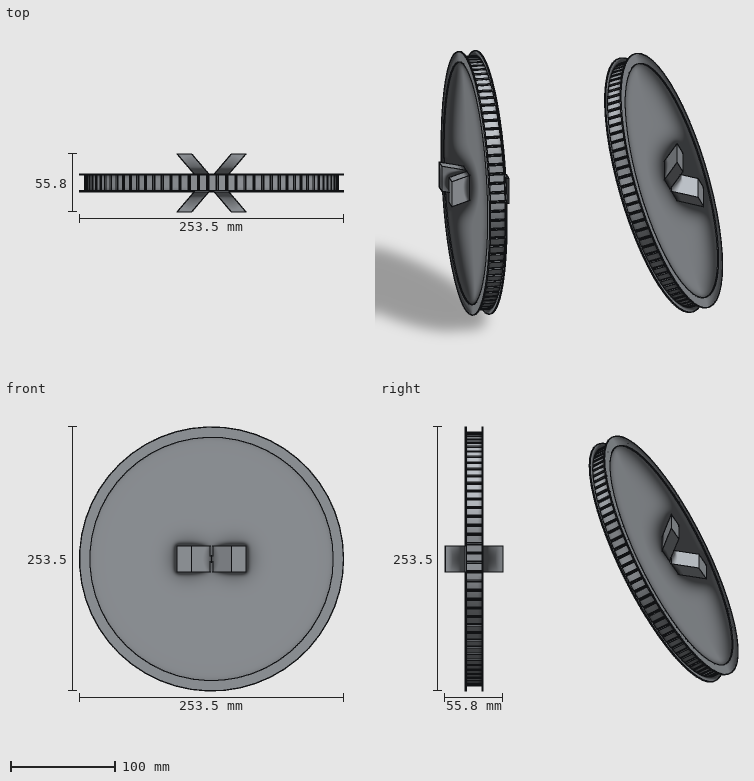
import cadquery as cq
import math

flange_diameter = 253.5
flange_thickness = 1.15
wheel_width = 17.2
rim_diameter = 244.0
flange_opening = 233.5
bore_diameter = 6.0
rim_width = wheel_width - 2 * flange_thickness

tooth_count = 85
gap_top_width = 2.3
gap_depth = 1.3
gap_overcut = 0.8
gap_wall_angle = 25.0
first_gap_angle = 2.6

cross_depth = 55.8
cross_height = 25.0
arm_lean = 40.5
arm_outer_x = 33.2
arm_inner_x = 19.0


def cylinder_along_y(diameter, width, y_centre=0):
    """Cylinder on the wheel axis, centred at y_centre."""
    back_face = cq.Workplane("XZ", origin=(0, y_centre + width / 2, 0))
    return back_face.circle(diameter / 2).extrude(width)


def make_tooth_gap(angle):
    """Tapered bar that cuts one tooth gap between the flanges, at an angle clockwise from +Z."""
    slope = math.tan(math.radians(gap_wall_angle))
    half_floor = gap_top_width / 2 - gap_depth * slope
    half_mouth = gap_top_width / 2 + gap_overcut * slope
    tip_radius = rim_diameter / 2
    gap = (
        cq.Workplane("XZ", origin=(0, rim_width / 2, 0))
        .polyline([
            (-half_floor, tip_radius - gap_depth),
            (half_floor, tip_radius - gap_depth),
            (half_mouth, tip_radius + gap_overcut),
            (-half_mouth, tip_radius + gap_overcut),
        ])
        .close()
        .extrude(rim_width)
    )
    return gap.rotate((0, 0, 0), (0, 1, 0), angle)


def make_toothed_rim():
    rim = cylinder_along_y(rim_diameter, rim_width)
    gaps = [
        make_tooth_gap(first_gap_angle + i * 360 / tooth_count).val()
        for i in range(tooth_count)
    ]
    return rim.cut(cq.Compound.makeCompound(gaps))


def make_cross():
    """X-shaped bar: four arms that meet in a solid waist."""
    half_depth = cross_depth / 2
    slope = math.tan(math.radians(arm_lean))
    notch_y = half_depth - arm_inner_x / slope
    waist_x = arm_outer_x - half_depth * slope
    outline = [
        (waist_x, 0),
        (arm_outer_x, half_depth),
        (arm_inner_x, half_depth),
        (0, notch_y),
        (-arm_inner_x, half_depth),
        (-arm_outer_x, half_depth),
        (-waist_x, 0),
        (-arm_outer_x, -half_depth),
        (-arm_inner_x, -half_depth),
        (0, -notch_y),
        (arm_inner_x, -half_depth),
        (arm_outer_x, -half_depth),
    ]
    bottom = cq.Workplane("XY", origin=(0, 0, -cross_height / 2))
    return bottom.polyline(outline).close().extrude(cross_height)


def make_flange(y_centre):
    """Flat ring beside the rim."""
    disc = cylinder_along_y(flange_diameter, flange_thickness, y_centre)
    return disc.cut(cylinder_along_y(flange_opening, flange_thickness, y_centre))


def make_wheel(cross):
    """Toothed wheel with a flange on each side, a bore and an opening that fits the cross."""
    wheel = make_toothed_rim()
    flange_offset = (rim_width + flange_thickness) / 2
    for y_centre in (-flange_offset, flange_offset):
        wheel = wheel.union(make_flange(y_centre))
    wheel = wheel.cut(cylinder_along_y(bore_diameter, rim_width))
    return wheel.cut(cross)


cross = make_cross()
wheel = make_wheel(cross)

result = cq.Compound.makeCompound([wheel.val(), cross.val()])